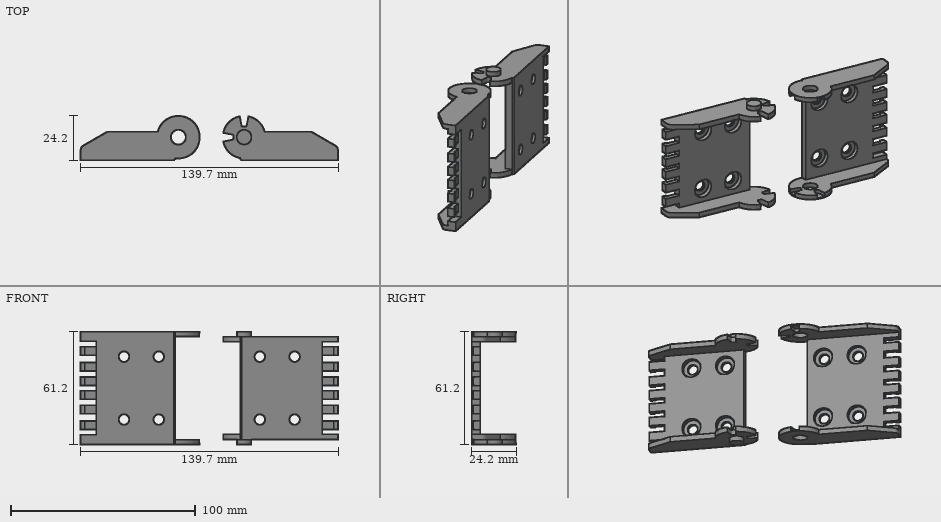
import cadquery as cq
import math

TOTAL_LENGTH = 139.7
TOTAL_HEIGHT = 61.2

PIN_LEAF_HEIGHT = 55.9
SOCKET_EAR_THICKNESS = (TOTAL_HEIGHT - PIN_LEAF_HEIGHT) / 2
PIN_EAR_THICKNESS = 3.0
EAR_DEPTH = 15.6
EAR_SLOPE_LENGTH = 14.7
EAR_SLOPE_ANGLE = 30.0
EAR_CORNER_RADIUS = 3.4

AXIS_Y = 12.6
SOCKET_AXIS_X = 53.1
PIN_AXIS_INSET = 51.0
PIN_AXIS_X = TOTAL_LENGTH - PIN_AXIS_INSET
KNUCKLE_RADIUS = 11.6
PIN_DIAMETER = 8.0

NOTCH_FLOOR_RADIUS = 5.9
NOTCH_FLOOR_WIDTH = 2.5
NOTCH_MOUTH_WIDTH = 4.7
NOTCH_CORNER_RADIUS = 0.5
PIN_NOTCH_DIRECTIONS = (90.0, 180.0)
SOCKET_NOTCH_DIRECTIONS = (0.0, 90.0)
SOCKET_NOTCH_DEPTH = 2.0

SOCKET_PLATE_LENGTH = 51.3
PIN_PLATE_LENGTH = 53.1
SOCKET_PLATE_THICKNESS = 4.5
PIN_PLATE_THICKNESS = 4.7
PLATE_CHAMFER = 0.7

SLOT_DEPTH = 8.5
SOCKET_SLOT_MARGIN = 5.3
FINGER_WIDTH = 4.7
FINGER_OFFSETS = (3.8, 11.6, 20.1)
FINGER_HEAD_LENGTH = 2.4
FINGER_HEAD_FRONT = 0.8
FINGER_NECK_FRONT = 1.8

SCREW_DIAMETER = 5.6
SCREW_LAND = 1.7
COUNTERBORE_DIAMETER = 10.3
SCREW_Z = 17.0
SCREW_PITCH_X = 18.9
SCREW_X = 23.6


def box(x0, x1, y0, y1, z0, z1):
    """Box between two opposite corners."""
    return cq.Workplane("XY").box(x1 - x0, y1 - y0, z1 - z0, centered=False).translate((x0, y0, z0))


def mirrored(body):
    """Turn a left-hand leaf, outer end at X = 0, into a right-hand one ending at TOTAL_LENGTH."""
    return body.mirror("YZ").translate((TOTAL_LENGTH, 0, 0))


def ear_pair(axis_x, plate_length, thickness, height):
    """Top and bottom ears: sloped outer end, straight flank and round hinge knuckle."""
    slope_drop = EAR_SLOPE_LENGTH * math.tan(math.radians(EAR_SLOPE_ANGLE))
    flank = (
        cq.Workplane("XY")
        .moveTo(0, 0)
        .lineTo(plate_length, 0)
        .lineTo(plate_length, AXIS_Y)
        .lineTo(axis_x, AXIS_Y)
        .lineTo(axis_x, EAR_DEPTH)
        .lineTo(EAR_SLOPE_LENGTH, EAR_DEPTH)
        .lineTo(0, EAR_DEPTH - slope_drop)
        .close()
        .extrude(thickness)
        .edges(cq.selectors.NearestToPointSelector((0, EAR_DEPTH - slope_drop, thickness / 2)))
        .fillet(EAR_CORNER_RADIUS)
    )
    knuckle = cq.Workplane("XY").center(axis_x, AXIS_Y).circle(KNUCKLE_RADIUS).extrude(thickness)
    ear = flank.union(knuckle)
    top = ear.translate((0, 0, height / 2 - thickness))
    return top.union(ear.translate((0, 0, -height / 2)))


def slotted_plate(length, thickness, height, slot_margin):
    """Flat plate with an open slot across its outer end."""
    half = height / 2
    plate = box(0, length, 0, thickness, -half, half)
    return plate.cut(box(0, SLOT_DEPTH, 0, thickness, slot_margin - half, half - slot_margin))


def chamfer_hinge_end(leaf, length):
    """Break the full-height front edge at the hinge end of a plate."""
    front_edge = cq.selectors.NearestToPointSelector((length, 0, 0))
    return leaf.edges(front_edge).chamfer(PLATE_CHAMFER)


def fingers(plate_thickness):
    """Stepped fingers that reach from the slot floor to the outer end."""
    row = cq.Workplane("XY")
    for offset in FINGER_OFFSETS:
        for z in (-offset, offset):
            finger = (
                cq.Workplane("XY", origin=(0, 0, z - FINGER_WIDTH / 2))
                .moveTo(0, FINGER_HEAD_FRONT)
                .lineTo(FINGER_HEAD_LENGTH, FINGER_HEAD_FRONT)
                .lineTo(FINGER_HEAD_LENGTH, FINGER_NECK_FRONT)
                .lineTo(SLOT_DEPTH, FINGER_NECK_FRONT)
                .lineTo(SLOT_DEPTH, plate_thickness)
                .lineTo(0, plate_thickness)
                .close()
                .extrude(FINGER_WIDTH)
            )
            row = row.add(finger)
    return row.combine()


def screw_holes(thickness):
    """Four screw holes along Y, counterbored behind a thin land at the front."""
    centres = [(SCREW_X + dx, z) for dx in (0, SCREW_PITCH_X) for z in (-SCREW_Z, SCREW_Z)]
    bores = cq.Workplane("XZ").pushPoints(centres).circle(SCREW_DIAMETER / 2).extrude(-thickness)
    counterbores = (
        cq.Workplane("XZ", origin=(0, SCREW_LAND, 0))
        .pushPoints(centres)
        .circle(COUNTERBORE_DIAMETER / 2)
        .extrude(SCREW_LAND - thickness)
    )
    return bores.union(counterbores)


def hinge_cylinder(axis_x, z0, z1):
    """Cylinder of the pin diameter on a hinge axis."""
    return (
        cq.Workplane("XY", origin=(axis_x, AXIS_Y, z0))
        .circle(PIN_DIAMETER / 2)
        .extrude(z1 - z0)
    )


def rim_notches(axis_x, directions, height):
    """Tapered cutters through the knuckle rim, centred on Z = 0 and pointing in the given directions."""
    notch = (
        cq.Workplane("XY", origin=(0, 0, -height / 2))
        .moveTo(NOTCH_FLOOR_RADIUS, -NOTCH_FLOOR_WIDTH / 2)
        .lineTo(KNUCKLE_RADIUS, -NOTCH_MOUTH_WIDTH / 2)
        .lineTo(KNUCKLE_RADIUS, NOTCH_MOUTH_WIDTH / 2)
        .lineTo(NOTCH_FLOOR_RADIUS, NOTCH_FLOOR_WIDTH / 2)
        .close()
        .extrude(height)
        .edges("|Z and <X")
        .fillet(NOTCH_CORNER_RADIUS)
    )
    cutters = cq.Workplane("XY")
    for direction in directions:
        turned = notch.rotate((0, 0, 0), (0, 0, 1), direction)
        cutters = cutters.add(turned.translate((axis_x, AXIS_Y, 0)))
    return cutters.combine()


def make_socket_leaf():
    """Left leaf, whose ears carry the pin holes."""
    half = TOTAL_HEIGHT / 2
    plate = slotted_plate(SOCKET_PLATE_LENGTH, SOCKET_PLATE_THICKNESS, TOTAL_HEIGHT, SOCKET_SLOT_MARGIN)
    ears = ear_pair(
        SOCKET_AXIS_X, SOCKET_PLATE_LENGTH, SOCKET_EAR_THICKNESS, TOTAL_HEIGHT
    )
    leaf = chamfer_hinge_end(plate.union(ears), SOCKET_PLATE_LENGTH)
    leaf = leaf.union(fingers(SOCKET_PLATE_THICKNESS)).cut(screw_holes(SOCKET_PLATE_THICKNESS))
    leaf = leaf.cut(hinge_cylinder(SOCKET_AXIS_X, -half, half))
    notched_height = TOTAL_HEIGHT - 2 * (SOCKET_EAR_THICKNESS - SOCKET_NOTCH_DEPTH)
    return leaf.cut(rim_notches(SOCKET_AXIS_X, SOCKET_NOTCH_DIRECTIONS, notched_height))


def make_pin_leaf():
    """Right leaf, whose notched ears carry the hinge pins."""
    half = PIN_LEAF_HEIGHT / 2
    plate = slotted_plate(PIN_PLATE_LENGTH, PIN_PLATE_THICKNESS, PIN_LEAF_HEIGHT, PIN_EAR_THICKNESS)
    ears = ear_pair(
        PIN_AXIS_INSET, PIN_PLATE_LENGTH, PIN_EAR_THICKNESS, PIN_LEAF_HEIGHT
    )
    leaf = chamfer_hinge_end(plate.union(ears), PIN_PLATE_LENGTH)
    leaf = leaf.union(fingers(PIN_PLATE_THICKNESS)).cut(screw_holes(PIN_PLATE_THICKNESS))
    leaf = mirrored(leaf).cut(rim_notches(PIN_AXIS_X, PIN_NOTCH_DIRECTIONS, PIN_LEAF_HEIGHT))
    leaf = leaf.union(hinge_cylinder(PIN_AXIS_X, half - PIN_EAR_THICKNESS, TOTAL_HEIGHT / 2))
    return leaf.union(hinge_cylinder(PIN_AXIS_X, -TOTAL_HEIGHT / 2, PIN_EAR_THICKNESS - half))


socket_leaf = make_socket_leaf()
pin_leaf = make_pin_leaf()

result = cq.Compound.makeCompound([socket_leaf.val(), pin_leaf.val()])